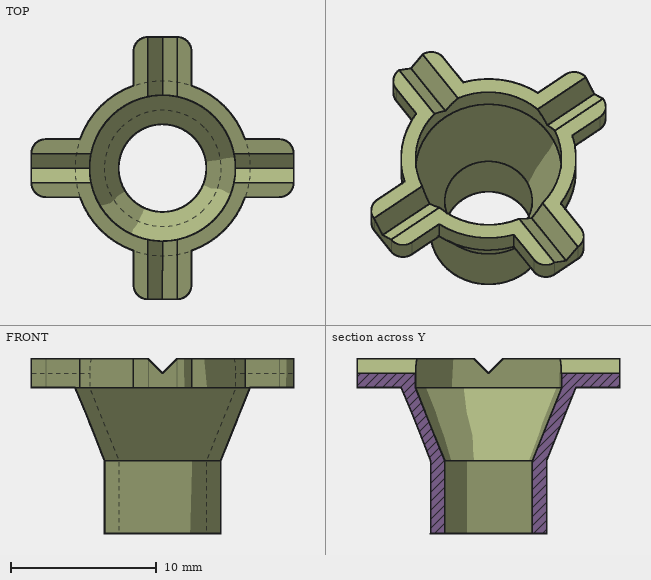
import cadquery as cq

span = 18.0
flange_height = 2.0
cone_height = 5.0
tube_height = 5.0

flange_diameter = 12.0
tube_diameter = 8.0
mouth_diameter = 10.0
bore_diameter = 6.0

arm_width = 4.0
arm_corner_radius = 1.0
groove_width = 2.0
groove_depth = groove_width / 2

cone_base = tube_height
flange_base = cone_base + cone_height
top = flange_base + flange_height


def funnel(upper_diameter, lower_diameter):
    """Solid of revolution: straight tube, flaring cone, straight rim."""
    upper_radius = upper_diameter / 2
    lower_radius = lower_diameter / 2
    return (
        cq.Workplane("XZ")
        .polyline([
            (0, 0),
            (lower_radius, 0),
            (lower_radius, cone_base),
            (upper_radius, flange_base),
            (upper_radius, top),
            (0, top),
        ])
        .close()
        .revolve(360, (0, 0), (0, 1))
    )


def arm_pair():
    """Bar along X forming two opposite arms with rounded corners."""
    return (
        cq.Workplane("XY")
        .workplane(offset=flange_base)
        .rect(span, arm_width)
        .extrude(flange_height)
        .edges("|Z")
        .fillet(arm_corner_radius)
    )


def groove():
    """V-shaped cutter along X, open at the top face."""
    return (
        cq.Workplane("YZ")
        .polyline([
            (-groove_width / 2, top),
            (groove_width / 2, top),
            (0, top - groove_depth),
        ])
        .close()
        .extrude(span / 2, both=True)
    )


body = funnel(flange_diameter, tube_diameter)
cavity = funnel(mouth_diameter, bore_diameter)

arm_directions = (0, 90)
for angle in arm_directions:
    body = body.union(arm_pair().rotate((0, 0, 0), (0, 0, 1), angle))

result = body.cut(cavity)
for angle in arm_directions:
    result = result.cut(groove().rotate((0, 0, 0), (0, 0, 1), angle))